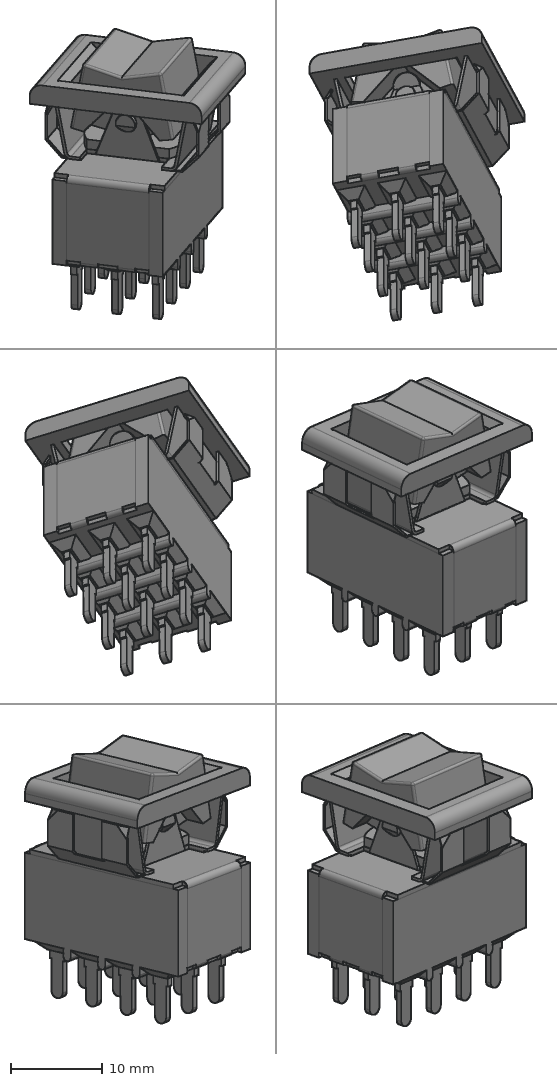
import cadquery as cq
import math

BODY_X = 12.7
BODY_Y = 21.6
BODY_BOTTOM = 6.43
BODY_TOP = 16.4
FRAME_THICKNESS = 0.5
FRAME_TOP = BODY_TOP + FRAME_THICKNESS
FRAME_TOP_Y = 20.18
STRAP_X = 9.47
STRAP_BEND = 0.7
STRAP_BOTTOM = 7.03
HOOK_X = 2.0
HOOK_OFFSET = 2.15

TERMINAL_PITCH_X = 4.7
TERMINAL_PITCH_Y = 4.85
TERMINAL_THICKNESS = 0.75
TERMINAL_WIDTH = 1.6
SHOULDER_WIDTH = 2.05
SHOULDER_BOTTOM = 4.42
SEAT_X = 3.2
SEAT_Y = 4.3
SEAT_HEIGHT = 1.0
SEAT_TAPER = 45
RIB_WIDTH = 1.02
RIB_BOTTOM = 5.05

BUSHING_RADIUS = 5.85
BUSHING_FLATS = 6.8
BUSHING_TOP = 18.55

STRIP_THICKNESS = 0.17
STRIP_TOP = FRAME_TOP + STRIP_THICKNESS
ARM_SHEET = 0.25
ARM_Y = 11.1
ARM_FOOT_X = 6.95
ARM_OUTER_X = 8.87
ARM_KNEE_Z = 18.9
ARM_TOP = 23.25
ARM_NOTCH_Y = 4.08
ARM_NOTCH_BOTTOM = 18.5
ARM_FLAP = 1.4
ARM_FLAP_ANGLE = 41

BRACKET_SHEET = 0.35
BRACKET_TOP = STRIP_TOP + BRACKET_SHEET
EAR_OUTER_Y = 3.8
EAR_INNER_Y = EAR_OUTER_Y - BRACKET_SHEET
EAR_BASE_HALF = 3.65
EAR_NECK_HALF = 1.47
EAR_FOLD_Z = 22.73
EAR_LIP_LENGTH = 1.79
EAR_LIP_ANGLE = 33
LEG_Y = 12.1
LEG_TOP_X = 7.68
LEG_FOOT_X = 6.4
LEG_BEND = 0.8
FLANGE_END_X = 4.73

BEZEL_X = 19.85
BEZEL_Y = 15.8
BEZEL_BOTTOM = 23.83
BEZEL_TOP = 26.2
BEZEL_ROUND = 1.45
WINDOW_X = 14.57
WINDOW_Y = 12.02
WINDOW_BEVEL = 0.85

ROCKER_Y = 11.4
ROCKER_TOP = 28.4
ROCKER_TOP_HALF = 4.5
ROCKER_VALLEY_Z = 27.35
ROCKER_BOTTOM_HALF = 5.92
ROCKER_CORNER_Z = 20.7
ROCKER_KEEL_Z = 19.53
ROCKER_ROUND = 0.28
RECESS_HALF = 4.36
RECESS_FOOT_Z = 20.4
RECESS_APEX_Z = 25.1
PIVOT_DIAMETER = 2.2
PIVOT_Z = 21.28
PIVOT_END_Y = 4.42
PIVOT_BEVEL_TOP = 21.03


def block(x, y, z_low, z_high):
    """Box centred on the Z axis between two heights."""
    return cq.Workplane("XY").workplane(offset=z_low).rect(x, y).extrude(z_high - z_low)


def prism_y(points, y_low, y_high):
    """Extrude an outline of (x, z) points from y_low to y_high."""
    return cq.Workplane("XZ", origin=(0, y_low, 0)).polyline(points).close().extrude(y_low - y_high)


def with_mirror(shape, plane):
    return shape.union(shape.mirror(plane))


def make_frame():
    """Full-width top sheet with a narrower strap bent down each end, hooked under the body."""
    straps = block(STRAP_X, BODY_Y, BODY_BOTTOM, FRAME_TOP)
    straps = straps.edges("|X and >Z").fillet(STRAP_BEND)
    straps = straps.edges("|X and <Z").fillet(FRAME_THICKNESS)
    straps = straps.cut(block(BODY_X, BODY_Y - 2 * FRAME_THICKNESS, BODY_BOTTOM, BODY_TOP))

    below_straps = block(STRAP_X, BODY_Y, BODY_BOTTOM, STRAP_BOTTOM)
    hook = block(HOOK_X, BODY_Y, BODY_BOTTOM, STRAP_BOTTOM)
    for x in (-HOOK_OFFSET, HOOK_OFFSET):
        below_straps = below_straps.cut(hook.translate((x, 0, 0)))
    top_sheet = block(BODY_X, FRAME_TOP_Y, BODY_TOP, FRAME_TOP)
    return straps.cut(below_straps).union(top_sheet)


def make_body():
    """Moulded block, set back behind the straps of the frame."""
    body = block(BODY_X, BODY_Y, BODY_BOTTOM, BODY_TOP)
    strap_space = block(STRAP_X, BODY_Y, BODY_BOTTOM, BODY_TOP)
    core = block(STRAP_X, BODY_Y - 2 * FRAME_THICKNESS, BODY_BOTTOM, BODY_TOP)
    return body.cut(strap_space).union(core)


def round_ended_bar(x, y, z_low, z_high):
    """Upright bar whose lower end is a half round across its full Y width."""
    radius = y / 2
    end = cq.Workplane("YZ").center(0, z_low + radius).circle(radius).extrude(x / 2, both=True)
    return block(x, y, z_low + radius, z_high).union(end)


def make_terminal():
    """One blade with its shoulder and tapered seat, centred on the Z axis."""
    blade = round_ended_bar(TERMINAL_THICKNESS, TERMINAL_WIDTH, 0, BODY_BOTTOM)
    shoulder = block(TERMINAL_THICKNESS, SHOULDER_WIDTH, SHOULDER_BOTTOM, BODY_BOTTOM)
    seat = (
        cq.Workplane("XY")
        .workplane(offset=BODY_BOTTOM)
        .rect(SEAT_X, SEAT_Y)
        .extrude(-SEAT_HEIGHT, taper=SEAT_TAPER)
    )
    return blade.union(shoulder).union(seat)


def make_underside():
    terminal = make_terminal()
    underside = None
    for column in (-1, 0, 1):
        for row in (-1.5, -0.5, 0.5, 1.5):
            placed = terminal.translate((column * TERMINAL_PITCH_X, row * TERMINAL_PITCH_Y, 0))
            underside = placed if underside is None else underside.union(placed)
    rib = round_ended_bar(BODY_X, RIB_WIDTH, RIB_BOTTOM, BODY_BOTTOM)
    for row in (-1, 0, 1):
        underside = underside.union(rib.translate((0, row * TERMINAL_PITCH_Y, 0)))
    return underside


def make_bushing():
    disc = cq.Workplane("XY").workplane(offset=FRAME_TOP).circle(BUSHING_RADIUS)
    disc = disc.extrude(BUSHING_TOP - FRAME_TOP)
    return disc.intersect(block(2 * BUSHING_RADIUS, BUSHING_FLATS, FRAME_TOP, BUSHING_TOP))


def make_left_arm():
    """Arm rising from the base strip, notched in the middle, with two folded-in corners."""
    inner_x = ARM_OUTER_X - ARM_SHEET
    knee_angle = math.atan((ARM_OUTER_X - ARM_FOOT_X) / (ARM_KNEE_Z - FRAME_TOP))
    inner_knee_z = ARM_KNEE_Z + ARM_SHEET * math.tan(knee_angle / 2)
    arm = prism_y(
        [
            (-FLANGE_END_X, FRAME_TOP),
            (-ARM_FOOT_X, FRAME_TOP),
            (-ARM_OUTER_X, ARM_KNEE_Z),
            (-ARM_OUTER_X, ARM_TOP),
            (-inner_x, ARM_TOP),
            (-inner_x, inner_knee_z),
            (-ARM_FOOT_X + STRIP_THICKNESS, STRIP_TOP),
            (-FLANGE_END_X, STRIP_TOP),
        ],
        -ARM_Y / 2,
        ARM_Y / 2,
    )
    arm = arm.cut(block(4 * ARM_OUTER_X, ARM_NOTCH_Y, ARM_NOTCH_BOTTOM, ARM_TOP))

    side = ARM_Y / 2
    fold_low = (side, ARM_TOP - ARM_FLAP)
    fold_high = (side - ARM_FLAP, ARM_TOP)
    corner = (
        cq.Workplane("YZ", origin=(-ARM_OUTER_X, 0, 0))
        .polyline([fold_low, (side, ARM_TOP), fold_high])
        .close()
        .extrude(ARM_SHEET)
    )
    flap = corner.rotate((-ARM_OUTER_X, *fold_high), (-ARM_OUTER_X, *fold_low), ARM_FLAP_ANGLE)
    return arm.cut(with_mirror(corner, "XZ")).union(with_mirror(flap, "XZ"))


def make_clip():
    strip = block(2 * FLANGE_END_X, 2 * EAR_INNER_Y, FRAME_TOP, STRIP_TOP)
    return strip.union(with_mirror(make_left_arm(), "YZ"))


def make_front_ear():
    """Tapered pivot ear with a rounded lip that leans outward from the fold."""
    plate = prism_y(
        [
            (-EAR_BASE_HALF, STRIP_TOP),
            (EAR_BASE_HALF, STRIP_TOP),
            (EAR_NECK_HALF, EAR_FOLD_Z),
            (-EAR_NECK_HALF, EAR_FOLD_Z),
        ],
        -EAR_OUTER_Y,
        -EAR_INNER_Y,
    )
    lip = (
        cq.Workplane("XZ", origin=(0, -EAR_INNER_Y, EAR_FOLD_Z))
        .moveTo(-EAR_NECK_HALF, 0)
        .threePointArc((0, EAR_LIP_LENGTH), (EAR_NECK_HALF, 0))
        .close()
        .extrude(BRACKET_SHEET)
    )
    fold_start = (0, -EAR_INNER_Y, EAR_FOLD_Z)
    fold_end = (1, -EAR_INNER_Y, EAR_FOLD_Z)
    lip = lip.rotate(fold_start, fold_end, EAR_LIP_ANGLE)
    return plate.union(lip)


def make_left_leg():
    """Inward-leaning sheet leg with a bent foot flange."""
    lean = math.atan((LEG_TOP_X - LEG_FOOT_X) / (BEZEL_BOTTOM - STRIP_TOP))
    sheet_x = BRACKET_SHEET / math.cos(lean)
    inner_foot_x = LEG_FOOT_X - sheet_x + BRACKET_SHEET * math.tan(lean)
    leg = prism_y(
        [
            (-FLANGE_END_X, STRIP_TOP),
            (-LEG_FOOT_X, STRIP_TOP),
            (-LEG_TOP_X, BEZEL_BOTTOM),
            (-LEG_TOP_X + sheet_x, BEZEL_BOTTOM),
            (-inner_foot_x, BRACKET_TOP),
            (-FLANGE_END_X, BRACKET_TOP),
        ],
        -LEG_Y / 2,
        LEG_Y / 2,
    )
    outer_corner = cq.selectors.NearestToPointSelector((-LEG_FOOT_X, 0, STRIP_TOP))
    leg = leg.edges("|Y").edges(outer_corner).fillet(LEG_BEND)
    inner_corner = cq.selectors.NearestToPointSelector((-inner_foot_x, 0, BRACKET_TOP))
    return leg.edges("|Y").edges(inner_corner).fillet(LEG_BEND - BRACKET_SHEET)


def make_bracket():
    floor = block(2 * FLANGE_END_X, 2 * EAR_INNER_Y, STRIP_TOP, BRACKET_TOP)
    ears = with_mirror(make_front_ear(), "XZ")
    legs = with_mirror(make_left_leg(), "YZ")
    return floor.union(ears).union(legs)


def make_bezel():
    bezel = block(BEZEL_X, BEZEL_Y, BEZEL_BOTTOM, BEZEL_TOP)
    bezel = bezel.edges("|Y and >Z").fillet(BEZEL_ROUND)
    top_half = WINDOW_X / 2
    low_half = top_half - WINDOW_BEVEL
    bevel_z = BEZEL_TOP - WINDOW_BEVEL
    window = prism_y(
        [
            (-low_half, BEZEL_BOTTOM),
            (low_half, BEZEL_BOTTOM),
            (low_half, bevel_z),
            (top_half, BEZEL_TOP),
            (-top_half, BEZEL_TOP),
            (-low_half, bevel_z),
        ],
        -WINDOW_Y / 2,
        WINDOW_Y / 2,
    )
    return bezel.cut(window)


def make_pivot():
    """Front pivot pin; the lower half of its end is bevelled back to the ear face."""
    pin = (
        cq.Workplane("XZ", origin=(0, -EAR_INNER_Y, PIVOT_Z))
        .circle(PIVOT_DIAMETER / 2)
        .extrude(PIVOT_END_Y - EAR_INNER_Y)
    )
    pin_bottom = PIVOT_Z - PIVOT_DIAMETER / 2
    bevel = (
        cq.Workplane("YZ")
        .polyline(
            [
                (-PIVOT_END_Y, PIVOT_BEVEL_TOP),
                (-PIVOT_END_Y, pin_bottom),
                (-EAR_OUTER_Y, pin_bottom),
            ]
        )
        .close()
        .extrude(PIVOT_DIAMETER, both=True)
    )
    return pin.cut(bevel)


def make_rocker():
    rocker = prism_y(
        [
            (-ROCKER_TOP_HALF, ROCKER_TOP),
            (0, ROCKER_VALLEY_Z),
            (ROCKER_TOP_HALF, ROCKER_TOP),
            (ROCKER_BOTTOM_HALF, ROCKER_CORNER_Z),
            (0, ROCKER_KEEL_Z),
            (-ROCKER_BOTTOM_HALF, ROCKER_CORNER_Z),
        ],
        -ROCKER_Y / 2,
        ROCKER_Y / 2,
    )
    upper = cq.selectors.BoxSelector(
        (-BEZEL_X, -BEZEL_Y, ROCKER_CORNER_Z + ROCKER_ROUND),
        (BEZEL_X, BEZEL_Y, ROCKER_TOP + ROCKER_ROUND),
    )
    valley = cq.selectors.NearestToPointSelector((0, 0, ROCKER_VALLEY_Z))
    rocker = rocker.edges(upper - valley).fillet(ROCKER_ROUND)

    recess = prism_y(
        [
            (-RECESS_HALF, RECESS_FOOT_Z),
            (0, RECESS_APEX_Z),
            (RECESS_HALF, RECESS_FOOT_Z),
            (RECESS_HALF, BUSHING_TOP),
            (-RECESS_HALF, BUSHING_TOP),
        ],
        -ROCKER_Y / 2,
        -EAR_INNER_Y,
    )
    rocker = rocker.cut(with_mirror(recess, "XZ"))
    return rocker.union(with_mirror(make_pivot(), "XZ"))


result = make_body().union(make_underside())
for section in (make_frame(), make_bushing(), make_clip(), make_bracket(), make_bezel(), make_rocker()):
    result = result.union(section, clean=False)